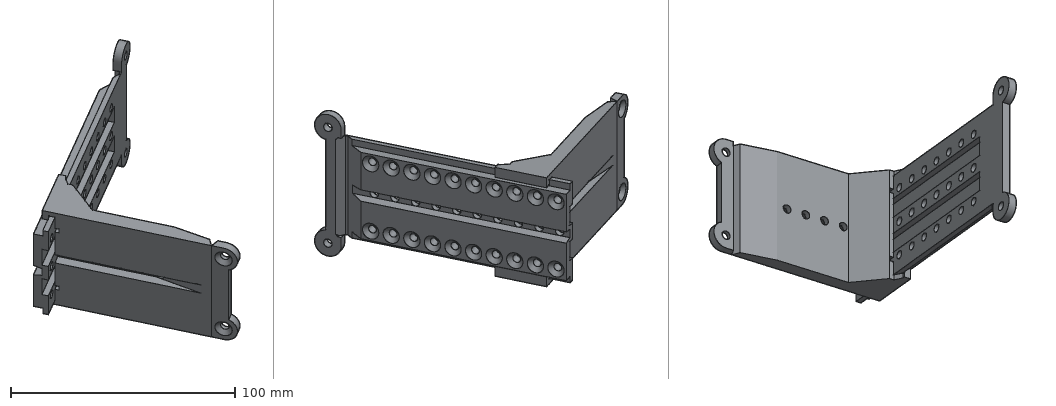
import cadquery as cq


screw_hole = 3.75
countersink_size = 7.9
groove_hole = 4.0
ear_hole = 4.05
ear_radius = 6.5
ear_thickness = 4.0
hole_pitch = 10.0
hinge_thickness = 0.7

rail_thickness = 7.0
rail_length = 123.59
rail_height = 71.48
flange_front = 4.4
flange_width = 50.0
body_width = 43.6
ramp_start = 99.8
ramp_end = 108.8
hinge_end = 110.0
strip_start = 113.4
strip_end = 118.2

groove_floor = 4.0
groove_mouth_width = 5.7
groove_floor_width = 4.05

rail_hole_count = 10
rail_hole_start = 5.0
rail_screw_z = 17.0

back_channel_floor = 4.0
back_channel_inner = 4.1
back_channel_outer = 13.6

rail_ear_y = rail_length - ear_radius
rail_ear_z = rail_height / 2 - ear_radius

bracket_front = 10.0
bracket_depth = 25.1
bracket_width = 55.0
lip_front = 1.0
lip_back = 4.0
lip_opening = 45.0
arm_thickness = 7.0
sleeve_back = 9.05
step_depth = 20.2
sleeve_slant_start = 24.0
sleeve_slant_x = 6.7
taper_start = 60.4
arm_tip = 78.0
arm_tip_thickness = 3.8
notch_x = 80.0

slot_depth = 4.0
slot_mouth_width = 4.9
slot_floor_width = 4.05
slot_ramp_start = 53.0
slot_end = 75.1
arm_hole_start = 25.0
arm_hole_count = 4

tip_channel_z = 17.25
tip_channel_width = 2.2
tip_channel_depth = 1.8

overall_length = 92.1
arm_ear_x = overall_length - ear_radius
arm_ear_z = bracket_width / 2 - ear_radius
arm_strip_edge = 88.0
arm_strip_start = 81.7
arm_countersink_size = 8.1


def box(x_range, y_range, z_range):
    """Box between the given limits on each axis."""
    size = [high - low for low, high in (x_range, y_range, z_range)]
    return cq.Workplane("XY").box(*size, centered=False).translate((x_range[0], y_range[0], z_range[0]))


def prism_z(outline, width):
    """Outline in X and Y, extruded to a width centred on Z = 0."""
    return cq.Workplane("XY").polyline(outline).close().extrude(width / 2, both=True)


def yz_plane(x):
    """Plane at X looking along +X, with local x along Y and local y along Z."""
    return cq.Workplane("YZ", origin=(x, 0, 0))


def xz_plane(y):
    """Plane at Y facing -Y, with local x along X and local y along Z."""
    return cq.Workplane("XZ", origin=(0, y, 0))


def countersunk_cutter(diameter, head_diameter, length):
    """Screw hole along +Z from the origin with a 90 degree cone at its mouth."""
    cone_depth = (head_diameter - diameter) / 2
    profile = [
        (0, 0),
        (head_diameter / 2, 0),
        (diameter / 2, cone_depth),
        (diameter / 2, length),
        (0, length),
    ]
    return cq.Workplane("XZ").polyline(profile).close().revolve(360, (0, 0, 0), (0, 1, 0))


def rail_hinge_and_ears():
    ear_front = rail_thickness - ear_thickness
    film_front = rail_thickness - hinge_thickness
    strip = prism_z(
        [
            (rail_thickness, ramp_end),
            (film_front, ramp_end),
            (film_front, hinge_end),
            (ear_front, strip_start),
            (ear_front, strip_end),
            (rail_thickness, strip_end),
        ],
        flange_width,
    )
    for side in (1, -1):
        centre = (rail_ear_y, side * rail_ear_z)
        disc = yz_plane(ear_front).center(*centre).circle(ear_radius).extrude(ear_thickness)
        foot_z = sorted((side * flange_width / 2, side * rail_ear_z))
        foot = box((ear_front, rail_thickness), (rail_ear_y - ear_radius, strip_end), foot_z)
        hole = yz_plane(0).center(*centre).circle(ear_hole / 2).extrude(rail_thickness)
        strip = strip.union(disc).union(foot).cut(hole)
    return strip


def rail_groove():
    """Middle groove of the rail: wide mouth, narrow floor, running past the sloped end."""
    outline = [
        (0, -groove_mouth_width / 2),
        (0, groove_mouth_width / 2),
        (groove_floor, groove_floor_width / 2),
        (groove_floor, -groove_floor_width / 2),
    ]
    return xz_plane(0).polyline(outline).close().extrude(-ramp_end)


def make_rail():
    sloped_side = [
        (0, 0),
        (0, ramp_start),
        (rail_thickness - hinge_thickness, ramp_end),
        (rail_thickness, ramp_end),
        (rail_thickness, 0),
    ]
    rail = prism_z(sloped_side, flange_width)
    for side in (1, -1):
        rebate_z = sorted((side * body_width / 2, side * flange_width / 2))
        rail = rail.cut(box((0, flange_front), (0, ramp_end), rebate_z))
    rail = rail.cut(rail_groove())

    for side in (1, -1):
        channel_z = sorted((side * back_channel_inner, side * back_channel_outer))
        rail = rail.cut(box((back_channel_floor, rail_thickness), (0, ramp_start), channel_z))

    screw = countersunk_cutter(screw_hole, countersink_size, rail_thickness)
    screw = screw.rotate((0, 0, 0), (0, 1, 0), 90)
    for index in range(rail_hole_count):
        y = rail_hole_start + index * hole_pitch
        rail = rail.cut(yz_plane(0).center(y, 0).circle(groove_hole / 2).extrude(rail_thickness))
        for side in (1, -1):
            rail = rail.cut(screw.translate((0, y, side * rail_screw_z)))
    return rail.union(rail_hinge_and_ears())


def arm_slot():
    """Tapered slot in the front of the arm whose floor ramps up to the surface at its far end."""
    floor_y = bracket_front + slot_depth
    outline = [
        (bracket_front, -slot_mouth_width / 2),
        (bracket_front, slot_mouth_width / 2),
        (floor_y, slot_floor_width / 2),
        (floor_y, -slot_floor_width / 2),
    ]
    slot = yz_plane(rail_thickness).polyline(outline).close().extrude(slot_end - rail_thickness)
    above_ramp = [
        (rail_thickness, bracket_front),
        (rail_thickness, floor_y),
        (slot_ramp_start, floor_y),
        (slot_end, bracket_front),
    ]
    return slot.intersect(prism_z(above_ramp, slot_mouth_width))


def make_bracket():
    back = bracket_front + bracket_depth
    step = bracket_front + step_depth
    arm_back = bracket_front + arm_thickness
    brace_foot = sleeve_back + step - arm_back
    outline = [
        (lip_front, bracket_front),
        (lip_front, back),
        (flange_front, back),
        (flange_front, bracket_front + sleeve_slant_start),
        (sleeve_slant_x, step),
        (sleeve_back, step),
        (brace_foot, arm_back),
        (taper_start, arm_back),
        (arm_tip, bracket_front + arm_tip_thickness),
        (notch_x, bracket_front),
    ]
    bracket = prism_z(outline, bracket_width)

    sleeve_y = (bracket_front, back)
    half_flange = flange_width / 2
    half_opening = lip_opening / 2
    bracket = bracket.cut(box((lip_back, rail_thickness), sleeve_y, (-half_flange, half_flange)))
    bracket = bracket.cut(box((lip_front, lip_back), sleeve_y, (-half_opening, half_opening)))

    for side in (1, -1):
        centre_z = side * tip_channel_z
        channel_z = (centre_z - tip_channel_width / 2, centre_z + tip_channel_width / 2)
        channel_x = (rail_thickness, rail_thickness + tip_channel_depth)
        bracket = bracket.cut(box(channel_x, sleeve_y, channel_z))

    bracket = bracket.cut(arm_slot())
    for index in range(arm_hole_count):
        x = arm_hole_start + index * hole_pitch
        hole = xz_plane(bracket_front).center(x, 0).circle(groove_hole / 2).extrude(-bracket_depth)
        bracket = bracket.cut(hole)
    return bracket


def make_arm_ears():
    ear_back = bracket_front + ear_thickness
    strip = prism_z(
        [
            (notch_x, bracket_front),
            (arm_strip_start, ear_back),
            (arm_strip_edge, ear_back),
            (arm_strip_edge, bracket_front),
        ],
        bracket_width,
    )
    corner_z = bracket_width / 2
    notch_side = box((0, arm_strip_start), (bracket_front, ear_back), (-corner_z, corner_z))
    screw = countersunk_cutter(ear_hole, arm_countersink_size, ear_thickness)
    screw = screw.rotate((0, 0, 0), (1, 0, 0), -90)
    for side in (1, -1):
        corner = box(
            (arm_ear_x, arm_strip_edge),
            (bracket_front, ear_back),
            sorted((side * arm_ear_z, side * corner_z)),
        )
        disc = xz_plane(bracket_front).center(arm_ear_x, side * arm_ear_z).circle(ear_radius)
        disc = disc.extrude(-ear_thickness).cut(notch_side)
        strip = strip.cut(corner).union(disc)
        strip = strip.cut(screw.translate((arm_ear_x, bracket_front, side * arm_ear_z)))
    return strip


rail = make_rail()
bracket = make_bracket()
arm_ears = make_arm_ears()

result = cq.Compound.makeCompound([
    rail.solids().val(),
    bracket.solids().val(),
    arm_ears.solids().val(),
])